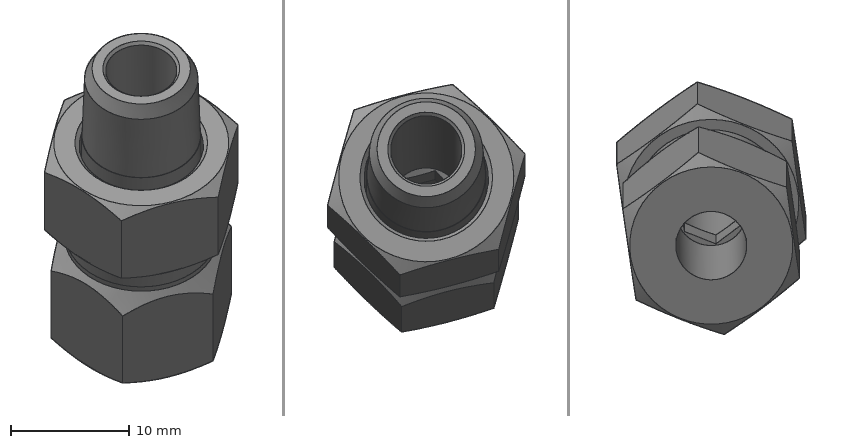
import cadquery as cq
import math

total_height = 30.83
seat_height = 10.95
nut_hex_bottom = 13.35
nut_hex_top = 21.8

base_flats = 14.0
base_collar_diameter = 13.0
base_cone_top = 10.42
base_bottom_face_diameter = 13.8
base_bore_diameter = 6.0

nut_flats = 15.0
nut_face_diameter = 14.83
nut_collar_diameter = base_collar_diameter
nut_hole_diameter = 10.5
nut_mouth_diameter = 11.22

stem_diameter = 10.1
taper_bottom_diameter = 10.05
taper_top_diameter = 9.62
taper_bottom = 22.75
taper_top = 29.63
tip_diameter = 8.32
bore_diameter = 6.0
bore_mouth_diameter = 6.5
socket_flats = 5.0
socket_top = 13.87

hex_chamfer_angle = 30.0
base_cone_angle = 45.0
drill_angle = 31.0


def cone_rise(radial_distance, angle):
    """Height gained by a cone over a radial distance."""
    return radial_distance * math.tan(math.radians(angle))


def corner_radius(flats):
    """Distance from the axis of a hexagon to its corners."""
    return flats / math.sqrt(3)


def hexagonal_prism(flats, bottom, top):
    """Upright hexagonal prism with two corners on the X axis."""
    base_plane = cq.Workplane("XY").workplane(offset=bottom)
    return base_plane.polygon(6, 2 * corner_radius(flats)).extrude(top - bottom)


def cylinder(diameter, bottom, top):
    return cq.Workplane("XY").workplane(offset=bottom).circle(diameter / 2).extrude(top - bottom)


def turned(profile):
    """Solid of revolution about Z from (radius, height) points."""
    return cq.Workplane("XZ").polyline(profile).close().revolve(360, (0, 0, 0), (0, 1, 0))


def make_base():
    corner = corner_radius(base_flats)
    collar_radius = base_collar_diameter / 2
    face_radius = base_bottom_face_diameter / 2
    envelope = turned([
        (0, 0),
        (face_radius, 0),
        (corner, cone_rise(corner - face_radius, hex_chamfer_angle)),
        (corner, base_cone_top - cone_rise(corner - collar_radius, base_cone_angle)),
        (collar_radius, base_cone_top),
        (collar_radius, seat_height),
        (0, seat_height),
    ])
    body = hexagonal_prism(base_flats, 0, seat_height).intersect(envelope)
    return body.cut(cylinder(base_bore_diameter, 0, seat_height))


def make_nut():
    corner = corner_radius(nut_flats)
    face_radius = nut_face_diameter / 2
    chamfer_height = cone_rise(corner - face_radius, hex_chamfer_angle)
    envelope = turned([
        (0, nut_hex_bottom),
        (face_radius, nut_hex_bottom),
        (corner, nut_hex_bottom + chamfer_height),
        (corner, nut_hex_top - chamfer_height),
        (face_radius, nut_hex_top),
        (0, nut_hex_top),
    ])
    body = hexagonal_prism(nut_flats, nut_hex_bottom, nut_hex_top).intersect(envelope)
    body = body.union(cylinder(nut_collar_diameter, seat_height, nut_hex_bottom))
    mouth_depth = (nut_mouth_diameter - nut_hole_diameter) / 2
    hole = turned([
        (0, seat_height),
        (nut_hole_diameter / 2, seat_height),
        (nut_hole_diameter / 2, nut_hex_top - mouth_depth),
        (nut_mouth_diameter / 2, nut_hex_top),
        (0, nut_hex_top),
    ])
    return body.cut(hole)


def make_stem():
    body = turned([
        (0, seat_height),
        (stem_diameter / 2, seat_height),
        (stem_diameter / 2, taper_bottom),
        (taper_bottom_diameter / 2, taper_bottom),
        (taper_top_diameter / 2, taper_top),
        (tip_diameter / 2, total_height),
        (0, total_height),
    ])
    bore_radius = bore_diameter / 2
    mouth_depth = (bore_mouth_diameter - bore_diameter) / 2
    bore = turned([
        (0, socket_top - cone_rise(bore_radius, drill_angle)),
        (bore_radius, socket_top),
        (bore_radius, total_height - mouth_depth),
        (bore_mouth_diameter / 2, total_height),
        (0, total_height),
    ])
    socket = hexagonal_prism(socket_flats, seat_height, socket_top)
    return body.cut(bore).cut(socket)


base = make_base()
nut = make_nut()
stem = make_stem()

result = cq.Compound.makeCompound([base.val(), nut.val(), stem.val()])